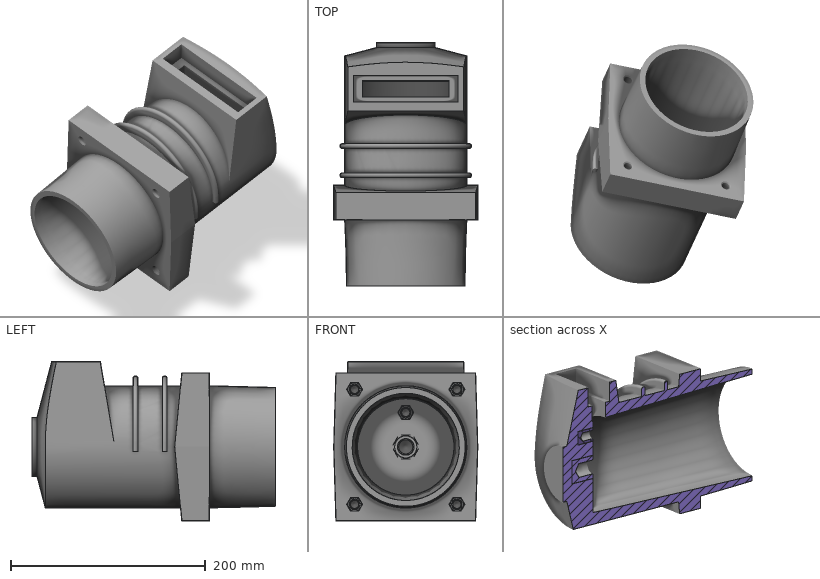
import cadquery as cq
import math

LENGTH = 250.0
BARREL_RADIUS = 62.8
MOUTH_OUTER_RADIUS = 61.0
MOUTH_BORE_RADIUS = 55.0
FLOOR_BORE_RADIUS = 49.5
BORE_DEPTH = 209.8

CONE_BASE_Y = 236.2
CONE_TOP_Y = 244.8
BOSS_RADIUS = 30.2

FLANGE_FRONT_Y = 68.0
FLANGE_EDGE_THICKNESS = 28.2
FLANGE_MID_THICKNESS = 35.5
FLANGE_HEIGHT = 152.0
FLANGE_EDGE_WIDTH = 143.5
FLANGE_MID_WIDTH = 148.0

RIB_RADIUS = 67.5
RIB_CENTER_Z = 5.2
RIB_BOTTOM_Z = -4.5
RIB_WIDTH = 5.0
RIB_PLACES_Y = (113.8, 143.8)

HOOD_TOP_Z = 87.5
HOOD_BOTTOM_Z = 6.0
HOOD_TOP_WIDTH = 119.0
HOOD_FRONT_TOP_Y = 179.8
HOOD_FRONT_BOTTOM_Y = 166.0

OPENING_CENTER_Y = 202.5
POCKET_WIDTH = 107.0
POCKET_LENGTH = 27.5
POCKET_DEPTH = 20.8
SLOT_WIDTH = 88.5
SLOT_LENGTH = 17.0

CORNER_SPACING_X = 105.0
CORNER_SPACING_Z = 118.0
UPPER_INSERT_Z = 35.2
HEX_CHAMFER_ANGLE = 30.0
DRILL_POINT_ANGLE = 118.0
SMALL_INSERT = {
    "flats": 14.0,
    "face_diameter": 13.8,
    "length": 20.0,
    "hole_diameter": 8.5,
    "sink_diameter": 10.8,
    "hole_depth": 13.8,
}
CENTER_INSERT = {
    "flats": 24.5,
    "face_diameter": 22.8,
    "length": 27.5,
    "hole_diameter": 14.5,
    "sink_diameter": 17.0,
    "hole_depth": 18.8,
}


def revolved(profile):
    """Turn an outline of (Y, radius) points about the Y axis."""
    return cq.Workplane("YZ").polyline(profile).close().revolve(360, (0, 0, 0), (1, 0, 0))


def extruded_along_y(outline, y_start, y_end):
    """Extrude an outline of (X, Z) points from y_start to y_end."""
    return cq.Workplane("XZ", origin=(0, y_start, 0)).polyline(outline).close().extrude(y_start - y_end)


def extruded_across_x(outline, width):
    """Extrude an outline of (Y, Z) points to a width centred on X = 0."""
    return cq.Workplane("YZ").polyline(outline).close().extrude(width / 2, both=True)


def make_barrel():
    """Solid barrel, tapered in front of the flange."""
    return revolved([
        (0, 0),
        (0, MOUTH_OUTER_RADIUS),
        (FLANGE_FRONT_Y, BARREL_RADIUS),
        (CONE_TOP_Y, BARREL_RADIUS),
        (CONE_TOP_Y, 0),
    ])


def make_flange():
    """Plate with its sides and its rear face folded along the mid-height line."""
    half_height = FLANGE_HEIGHT / 2
    half_edge = FLANGE_EDGE_WIDTH / 2
    half_mid = FLANGE_MID_WIDTH / 2
    edge_y = FLANGE_FRONT_Y + FLANGE_EDGE_THICKNESS
    mid_y = FLANGE_FRONT_Y + FLANGE_MID_THICKNESS
    front_shape = extruded_along_y(
        [
            (-half_edge, -half_height),
            (half_edge, -half_height),
            (half_mid, 0),
            (half_edge, half_height),
            (-half_edge, half_height),
            (-half_mid, 0),
        ],
        FLANGE_FRONT_Y,
        mid_y,
    )
    side_shape = extruded_across_x(
        [
            (FLANGE_FRONT_Y, -half_height),
            (edge_y, -half_height),
            (mid_y, 0),
            (edge_y, half_height),
            (FLANGE_FRONT_Y, half_height),
        ],
        FLANGE_MID_WIDTH,
    )
    return front_shape.intersect(side_shape)


def rib_arch_line(y, radius):
    """Semicircle with a straight leg down to the rib bottom at each end."""
    return (
        cq.Workplane("XZ", origin=(0, y, 0))
        .moveTo(-radius, RIB_BOTTOM_Z)
        .lineTo(-radius, RIB_CENTER_Z)
        .threePointArc((0, RIB_CENTER_Z + radius), (radius, RIB_CENTER_Z))
        .lineTo(radius, RIB_BOTTOM_Z)
    )


def make_rib(center_y):
    """Arched plate with straight ends and a fully rounded rim."""
    rim_radius = RIB_WIDTH / 2
    plate_radius = RIB_RADIUS - rim_radius
    plate = rib_arch_line(center_y + rim_radius, plate_radius).close().extrude(RIB_WIDTH)
    rim_start = cq.Workplane("XY", origin=(-plate_radius, center_y, RIB_BOTTOM_Z))
    rim = rim_start.circle(rim_radius).sweep(rib_arch_line(center_y, plate_radius))
    return plate.union(rim)


def make_hood():
    """Tapered block whose side walls meet the barrel surface at their lower edges."""
    half_bottom = math.sqrt(BARREL_RADIUS**2 - HOOD_BOTTOM_Z**2)
    half_top = HOOD_TOP_WIDTH / 2
    front_shape = extruded_along_y(
        [
            (-half_bottom, HOOD_BOTTOM_Z),
            (half_bottom, HOOD_BOTTOM_Z),
            (half_top, HOOD_TOP_Z),
            (-half_top, HOOD_TOP_Z),
        ],
        HOOD_FRONT_BOTTOM_Y,
        CONE_TOP_Y,
    )
    side_shape = extruded_across_x(
        [
            (HOOD_FRONT_BOTTOM_Y, HOOD_BOTTOM_Z),
            (CONE_TOP_Y, HOOD_BOTTOM_Z),
            (CONE_TOP_Y, HOOD_TOP_Z),
            (HOOD_FRONT_TOP_Y, HOOD_TOP_Z),
        ],
        2 * BARREL_RADIUS,
    )
    return front_shape.intersect(side_shape)


def make_rear_cone():
    """Conical envelope that ends both the barrel and the hood, wide enough to clear the hood corners."""
    slope = (CONE_TOP_Y - CONE_BASE_Y) / (BARREL_RADIUS - BOSS_RADIUS)
    reach = math.hypot(HOOD_TOP_Z, BARREL_RADIUS)
    return revolved([
        (0, 0),
        (0, reach),
        (CONE_TOP_Y - slope * (reach - BOSS_RADIUS), reach),
        (CONE_TOP_Y, BOSS_RADIUS),
        (CONE_TOP_Y, 0),
    ])


def make_boss():
    return cq.Workplane("XZ", origin=(0, CONE_TOP_Y, 0)).circle(BOSS_RADIUS).extrude(CONE_TOP_Y - LENGTH)


def make_bore():
    """Tapered blind bore from the mouth."""
    return revolved([
        (0, 0),
        (0, MOUTH_BORE_RADIUS),
        (BORE_DEPTH, FLOOR_BORE_RADIUS),
        (BORE_DEPTH, 0),
    ])


def make_opening():
    """Pocket in the hood top and a slot down into the bore, clear of the end wall behind its floor."""
    hood_top = cq.Workplane("XY", origin=(0, OPENING_CENTER_Y, HOOD_TOP_Z))
    pocket = hood_top.rect(POCKET_WIDTH, POCKET_LENGTH).extrude(-POCKET_DEPTH)
    slot = hood_top.rect(SLOT_WIDTH, SLOT_LENGTH).extrude(-HOOD_TOP_Z)
    end_wall = cq.Workplane("XZ", origin=(0, BORE_DEPTH, 0)).circle(FLOOR_BORE_RADIUS).extrude(BORE_DEPTH - LENGTH)
    return pocket.union(slot.cut(end_wall))


def make_insert_blank(place, sizes):
    """Hexagonal body with a chamfered front end whose round face is centred on the place."""
    length = sizes["length"]
    face_radius = sizes["face_diameter"] / 2
    corner_radius = sizes["flats"] / 2 / math.cos(math.pi / 6)
    prism = cq.Workplane("XZ").polygon(6, 2 * corner_radius).extrude(-length)
    cone_radius = face_radius + length / math.tan(math.radians(HEX_CHAMFER_ANGLE))
    chamfer_cone = revolved([
        (0, 0),
        (0, face_radius),
        (length, cone_radius),
        (length, 0),
    ])
    return prism.intersect(chamfer_cone).translate(place)


def make_insert_hole(place, sizes):
    """Blind hole with a 45 degree countersink and a drill point at its end."""
    hole_radius = sizes["hole_diameter"] / 2
    sink_radius = sizes["sink_diameter"] / 2
    depth = sizes["hole_depth"]
    point_length = hole_radius / math.tan(math.radians(DRILL_POINT_ANGLE / 2))
    return revolved([
        (0, 0),
        (0, sink_radius),
        (sink_radius - hole_radius, hole_radius),
        (depth, hole_radius),
        (depth + point_length, 0),
    ]).translate(place)


insert_places = [
    ((x * CORNER_SPACING_X / 2, FLANGE_FRONT_Y, z * CORNER_SPACING_Z / 2), SMALL_INSERT)
    for x in (-1, 1)
    for z in (-1, 1)
]
insert_places.append(((0, BORE_DEPTH, UPPER_INSERT_Z), SMALL_INSERT))
insert_places.append(((0, BORE_DEPTH, 0), CENTER_INSERT))

housing = make_barrel().union(make_hood()).intersect(make_rear_cone())
housing = housing.union(make_boss()).union(make_flange())
for rib_y in RIB_PLACES_Y:
    housing = housing.union(make_rib(rib_y))
housing = housing.cut(make_bore()).cut(make_opening())

inserts = []
for place, sizes in insert_places:
    blank = make_insert_blank(place, sizes)
    housing = housing.cut(blank)
    inserts.append(blank.cut(make_insert_hole(place, sizes)).val())

result = cq.Compound.makeCompound([housing.val(), *inserts])